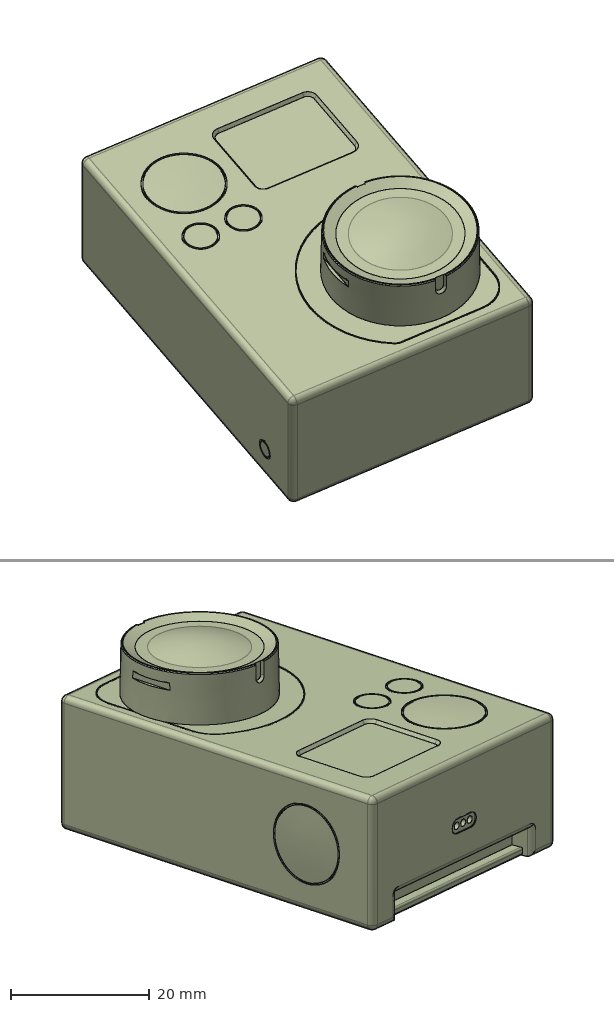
import cadquery as cq
import math

BODY_X = 58.98
BODY_Y = 41.0
BODY_Z = 21.0
EDGE_RADIUS = 1.0
LEFT_X = -BODY_X / 2
FRONT_Y = -BODY_Y / 2
REAR_Y = BODY_Y / 2
OVERLAP = 0.5

LENS_X = 14.35
LENS_Y = 7.0
BARREL_HEIGHT = 8.0
BARREL_TOP_Z = BODY_Z + BARREL_HEIGHT
BARREL_BASE_RADIUS = 11.5
BARREL_TOP_RADIUS = 11.35
RIM_CHAMFER = 0.15
DISH_TOP_RADIUS = 11.05
DISH_FLOOR_RADIUS = 9.3
DISH_DEPTH = 0.7
GLASS_RADIUS = 7.5
GLASS_TOP_Z = 29.57
SLOT_LENGTH = 7.8
SLOT_HEIGHT = 1.1
SLOT_Z = 26.6
SLOT_DEPTH = 0.65
NOTCH_WIDTH = 2.0
NOTCH_DROP = 3.2
NOTCH_DEPTH = 0.6
NOTCH_TAPER = 30

PLATE_RADIUS = 15.15
PLATE_UP = 11.2
PLATE_RIGHT = 12.8
PLATE_REAR_RADIUS = 5.1
PLATE_FRONT_RIGHT_RADIUS = 2.0
SEAM_WIDTH = 0.12
SEAM_DEPTH = 0.2

SCREEN_X = -17.0
SCREEN_Y = 6.6
SCREEN_WIDTH = 14.2
SCREEN_HEIGHT = 17.3
SCREEN_CORNER_RADIUS = 1.5
SCREEN_DEPTH = 0.55
SCREEN_TAPER = 36

DOME_X = -17.0
DOME_GAP_RADIUS = 6.2
DOME_RISE = 0.27
MODE_Y = -10.45
SHUTTER_Z = BODY_Z / 2
LIGHT_X = -6.5
LIGHT_YS = (-6.8, -14.0)
LIGHT_RADIUS = 2.7
LED_X = 22.1
LED_Z = 5.3
LED_RADIUS = 1.5
GAP_WIDTH = 0.25
GAP_DEPTH = 0.3

MIC_Z = BODY_Z / 2
MIC_LENGTH = 5.4
MIC_HEIGHT = 2.3
MIC_RECESS = 0.2
MIC_HOLE_RADIUS = 0.55
MIC_HOLE_COUNT = 3
MIC_HOLE_PITCH = 1.46
MIC_HOLE_DEPTH = 1.0

SCOOP_WIDTH = 32.0
SCOOP_HEIGHT = 5.45
SCOOP_DEPTH = 3.4
SCOOP_LIP_RADIUS = 0.9
SCOOP_CORNER_RADIUS = 1.2
SCOOP_ROOF_SLOPE = 23
SCOOP_SIDE_SLOPE = 8
LEDGE_SETBACK = 1.6
LEDGE_TOP_Z = 1.25
LEDGE_TOP_RADIUS = 0.3
LEDGE_BOTTOM_CHAMFER = 0.3


def body_block():
    block = cq.Workplane("XY").box(BODY_X, BODY_Y, BODY_Z, centered=(True, True, False))
    return block.edges().fillet(EDGE_RADIUS)


def sphere_radius(base_radius, rise):
    return (base_radius ** 2 + rise ** 2) / (2 * rise)


def spherical_cap(base_radius, rise):
    """Cap standing on Z = 0 with a plain root that sinks OVERLAP below it."""
    ball = sphere_radius(base_radius, rise)
    half_angle = math.asin(base_radius / ball) / 2
    middle = (ball * math.sin(half_angle), rise - ball * (1 - math.cos(half_angle)))
    return (
        cq.Workplane("XZ")
        .moveTo(0, -OVERLAP)
        .lineTo(base_radius, -OVERLAP)
        .lineTo(base_radius, 0)
        .threePointArc(middle, (0, rise))
        .close()
        .revolve(360, (0, 0), (0, 1))
    )


def lens_barrel():
    dish_floor_z = BARREL_TOP_Z - DISH_DEPTH
    section = [
        (0, BODY_Z - OVERLAP),
        (BARREL_BASE_RADIUS, BODY_Z - OVERLAP),
        (BARREL_BASE_RADIUS, BODY_Z),
        (BARREL_TOP_RADIUS, BARREL_TOP_Z - RIM_CHAMFER),
        (BARREL_TOP_RADIUS - RIM_CHAMFER, BARREL_TOP_Z),
        (DISH_TOP_RADIUS, BARREL_TOP_Z),
        (DISH_FLOOR_RADIUS, dish_floor_z),
        (0, dish_floor_z),
    ]
    barrel = cq.Workplane("XZ").polyline(section).close().revolve(360, (0, 0), (0, 1))
    glass = spherical_cap(GLASS_RADIUS, GLASS_TOP_Z - dish_floor_z)
    barrel = barrel.union(glass.translate((0, 0, dish_floor_z)))
    for turn in (0, 180):
        barrel = barrel.cut(barrel_slot().rotate((0, 0, 0), (0, 0, 1), turn))
        barrel = barrel.cut(barrel_notch().rotate((0, 0, 0), (0, 0, 1), turn))
    return barrel.translate((LENS_X, LENS_Y, 0))


def barrel_slot():
    """Flat-floored slot across the -Y side of the barrel."""
    cut_depth = SLOT_DEPTH + OVERLAP
    floor_y = -(BARREL_BASE_RADIUS - SLOT_DEPTH)
    slot = cq.Workplane("XY").box(SLOT_LENGTH, cut_depth, SLOT_HEIGHT)
    return slot.translate((0, floor_y - cut_depth / 2, SLOT_Z))


def barrel_notch():
    """Round-bottomed notch in the -X side of the rim, narrowing inwards."""
    radius = NOTCH_WIDTH / 2
    low_z = BARREL_TOP_Z - NOTCH_DROP
    top_z = BARREL_TOP_Z + OVERLAP
    return (
        cq.Workplane("YZ", origin=(-BARREL_BASE_RADIUS, 0, 0))
        .moveTo(-radius, top_z)
        .lineTo(-radius, low_z + radius)
        .threePointArc((0, low_z), (radius, low_z + radius))
        .lineTo(radius, top_z)
        .close()
        .extrude(NOTCH_DEPTH, taper=NOTCH_TAPER)
    )


def plate_solid(inset):
    """Disc round the lens, squared at its rear right corner, with its outline moved in by inset."""
    radius = PLATE_RADIUS - inset
    right = PLATE_RIGHT - inset
    rear = PLATE_UP - inset
    trim = cq.Workplane("XY").box(radius + right, radius + rear, SEAM_DEPTH, centered=False)
    disc = cq.Workplane("XY").circle(radius).extrude(SEAM_DEPTH)
    corner = cq.Workplane("XY").box(right, rear, SEAM_DEPTH, centered=False)
    plate = disc.intersect(trim.translate((-radius, -radius, 0))).union(corner)
    plate = plate.edges("|Z").edges(">X").edges("<Y").fillet(PLATE_FRONT_RIGHT_RADIUS - inset)
    return plate.edges("|Z").edges(">Y").fillet(PLATE_REAR_RADIUS - inset)


def plate_seam():
    seam = plate_solid(0).cut(plate_solid(SEAM_WIDTH))
    return seam.translate((LENS_X, LENS_Y, BODY_Z - SEAM_DEPTH))


def screen_window():
    return (
        cq.Workplane("XY", origin=(SCREEN_X, SCREEN_Y, BODY_Z))
        .sketch()
        .rect(SCREEN_WIDTH, SCREEN_HEIGHT)
        .vertices()
        .fillet(SCREEN_CORNER_RADIUS)
        .finalize()
        .extrude(-SCREEN_DEPTH, taper=SCREEN_TAPER)
    )


def ring_gap(radius):
    """Round gap, outer radius given, from GAP_DEPTH below Z = 0 up to Z = 0."""
    return cq.Workplane("XY").circle(radius).circle(radius - GAP_WIDTH).extrude(-GAP_DEPTH)


def on_top(shape, x, y):
    return shape.translate((x, y, BODY_Z))


def on_rear(shape, x, z):
    return shape.rotate((0, 0, 0), (1, 0, 0), -90).translate((x, REAR_Y, z))


def on_front(shape, x, z):
    return shape.rotate((0, 0, 0), (1, 0, 0), 90).translate((x, FRONT_Y, z))


def add_buttons(part):
    dome = spherical_cap(DOME_GAP_RADIUS - GAP_WIDTH, DOME_RISE)
    dome_gap = ring_gap(DOME_GAP_RADIUS)
    part = part.union(on_top(dome, DOME_X, MODE_Y))
    part = part.cut(on_top(dome_gap, DOME_X, MODE_Y))
    part = part.union(on_rear(dome, DOME_X, SHUTTER_Z))
    part = part.cut(on_rear(dome_gap, DOME_X, SHUTTER_Z))
    for light_y in LIGHT_YS:
        part = part.cut(on_top(ring_gap(LIGHT_RADIUS), LIGHT_X, light_y))
    return part.cut(on_front(ring_gap(LED_RADIUS), LED_X, LED_Z))


def microphone():
    """Shallow obround recess with a row of three holes in the left face."""
    face = cq.Workplane("YZ", origin=(LEFT_X, 0, MIC_Z))
    recess = face.slot2D(MIC_LENGTH, MIC_HEIGHT).extrude(MIC_RECESS)
    hole_centres = face.rarray(MIC_HOLE_PITCH, 1, MIC_HOLE_COUNT, 1)
    holes = hole_centres.circle(MIC_HOLE_RADIUS).extrude(MIC_HOLE_DEPTH)
    return recess.union(holes)


def lip_arc(reach, slope):
    """Middle and end (depth, reach) of the rounded lip leading into a wall sloping inwards."""
    points = []
    for angle in (math.radians(90 - slope) / 2, math.radians(90 - slope)):
        depth = SCOOP_LIP_RADIUS * (1 - math.cos(angle))
        points.append((depth, reach - SCOOP_LIP_RADIUS * math.sin(angle)))
    return points


def wall_end(lip_end, slope):
    """Reach at which a sloping wall meets the back of the scoop."""
    return lip_end[1] - (SCOOP_DEPTH - lip_end[0]) * math.tan(math.radians(slope))


def finger_scoop():
    """Scoop open to the left and below, leaving a ledge along its bottom."""
    half_width = SCOOP_WIDTH / 2

    roof_middle, roof_start = lip_arc(SCOOP_HEIGHT, SCOOP_ROOF_SLOPE)
    ledge_round = LEDGE_TOP_RADIUS * (1 - math.sqrt(0.5))
    section = (
        cq.Workplane("XZ")
        .moveTo(-OVERLAP, 0)
        .lineTo(LEDGE_SETBACK + LEDGE_BOTTOM_CHAMFER, 0)
        .lineTo(LEDGE_SETBACK, LEDGE_BOTTOM_CHAMFER)
        .lineTo(LEDGE_SETBACK, LEDGE_TOP_Z - LEDGE_TOP_RADIUS)
        .threePointArc(
            (LEDGE_SETBACK + ledge_round, LEDGE_TOP_Z - ledge_round),
            (LEDGE_SETBACK + LEDGE_TOP_RADIUS, LEDGE_TOP_Z),
        )
        .lineTo(SCOOP_DEPTH, LEDGE_TOP_Z)
        .lineTo(SCOOP_DEPTH, wall_end(roof_start, SCOOP_ROOF_SLOPE))
        .lineTo(*roof_start)
        .threePointArc(roof_middle, (0, SCOOP_HEIGHT))
        .lineTo(-OVERLAP, SCOOP_HEIGHT)
        .close()
        .extrude(half_width, both=True)
    )

    side_middle, side_start = lip_arc(half_width, SCOOP_SIDE_SLOPE)
    back_half_width = wall_end(side_start, SCOOP_SIDE_SLOPE)
    plan = (
        cq.Workplane("XY")
        .moveTo(-OVERLAP, half_width)
        .lineTo(0, half_width)
        .threePointArc(side_middle, side_start)
        .lineTo(SCOOP_DEPTH, back_half_width)
        .lineTo(SCOOP_DEPTH, -back_half_width)
        .lineTo(side_start[0], -side_start[1])
        .threePointArc((side_middle[0], -side_middle[1]), (0, -half_width))
        .lineTo(-OVERLAP, -half_width)
        .close()
        .extrude(SCOOP_HEIGHT)
    )

    opening = (
        cq.Workplane("XY")
        .box(SCOOP_DEPTH + OVERLAP, SCOOP_WIDTH, SCOOP_HEIGHT, centered=(False, True, False))
        .edges("|X and >Z")
        .fillet(SCOOP_CORNER_RADIUS)
        .translate((-OVERLAP, 0, 0))
    )
    return section.intersect(plan).intersect(opening).translate((LEFT_X, 0, 0))


result = body_block()
result = result.cut(plate_seam())
result = result.union(lens_barrel())
result = result.cut(screen_window())
result = add_buttons(result)
result = result.cut(microphone())
result = result.cut(finger_scoop())